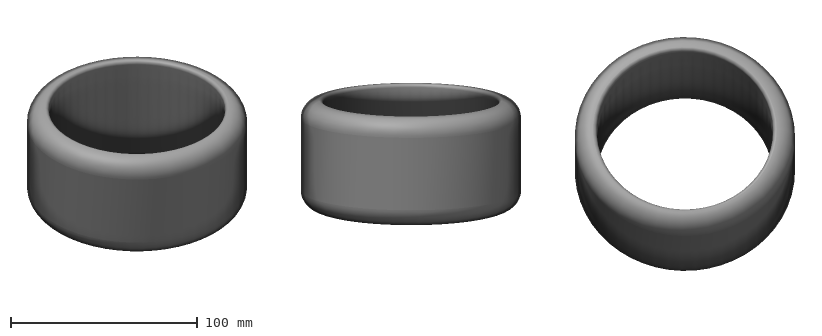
import cadquery as cq

outer_diameter = 118.0
bore_diameter = 94.4
height = 59.0
outer_round = 9.8

wall = (outer_diameter - bore_diameter) / 2
inner_round = wall - outer_round

outer_radius = outer_diameter / 2
bore_radius = bore_diameter / 2
crest_radius = outer_radius - outer_round
half_height = height / 2
outer_wall_end = half_height - outer_round
bore_wall_end = half_height - inner_round

section = (
    cq.Workplane("XZ")
    .moveTo(outer_radius, -outer_wall_end)
    .lineTo(outer_radius, outer_wall_end)
    .radiusArc((crest_radius, half_height), -outer_round)
    .radiusArc((bore_radius, bore_wall_end), -inner_round)
    .lineTo(bore_radius, -bore_wall_end)
    .radiusArc((crest_radius, -half_height), -inner_round)
    .radiusArc((outer_radius, -outer_wall_end), -outer_round)
    .close()
)

result = section.revolve(360, (0, 0, 0), (0, 1, 0))